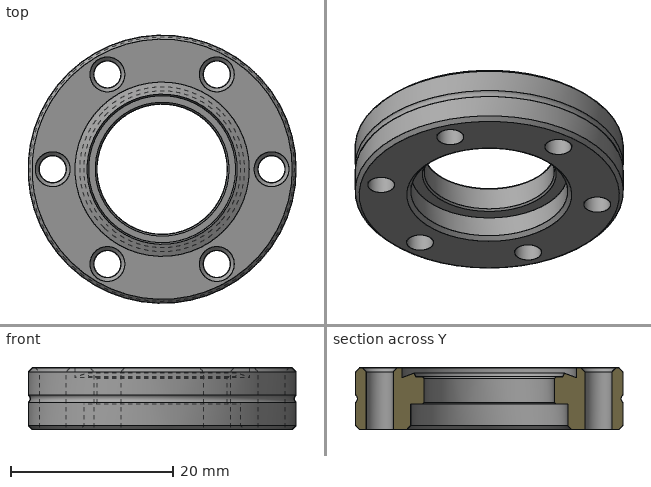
import cadquery as cq

flange_radius = 16.5
height = 7.63
rim_chamfer = 0.5

groove_width = 0.9
groove_depth = 0.23

recess_radius = 10.73
recess_depth = 1.2
knife_edge_radius = 9.25
knife_edge_depth = 0.63
knife_base_radius = 9.05

bore_radius = 16.0 / 2
lip_top_depth = 1.1
lip_bottom_depth = 4.5
lip_chamfer = 0.23
socket_radius = 19.32 / 2
socket_chamfer = 0.5

bolt_count = 6
bolt_circle_radius = 13.47
bolt_diameter = 3.3
countersink_diameter = 4.3
countersink_angle = 90.0


def flange_body():
    """Revolve the half section (radius, z) about the Z axis."""
    lip_top = height - lip_top_depth
    lip_bottom = height - lip_bottom_depth
    mid_height = height / 2
    section = (
        cq.Workplane("XZ")
        .moveTo(socket_radius + socket_chamfer, 0)
        .lineTo(socket_radius, socket_chamfer)
        .lineTo(socket_radius, lip_bottom)
        .lineTo(bore_radius + lip_chamfer, lip_bottom)
        .lineTo(bore_radius, lip_bottom + lip_chamfer)
        .lineTo(bore_radius, lip_top - lip_chamfer)
        .lineTo(bore_radius + lip_chamfer, lip_top)
        .lineTo(knife_base_radius, lip_top)
        .lineTo(knife_edge_radius, height - knife_edge_depth)
        .lineTo(recess_radius, height - recess_depth)
        .lineTo(recess_radius, height)
        .lineTo(flange_radius - rim_chamfer, height)
        .lineTo(flange_radius, height - rim_chamfer)
        .lineTo(flange_radius, mid_height + groove_width / 2)
        .threePointArc(
            (flange_radius - groove_depth, mid_height),
            (flange_radius, mid_height - groove_width / 2),
        )
        .lineTo(flange_radius, rim_chamfer)
        .lineTo(flange_radius - rim_chamfer, 0)
        .close()
    )
    return section.revolve(360, (0, 0, 0), (0, 1, 0))


def drill_bolt_holes(body):
    """Drill the countersunk through holes, the first one on +X."""
    return (
        body.copyWorkplane(cq.Workplane("XY", origin=(0, 0, height)))
        .polarArray(bolt_circle_radius, 0, 360, bolt_count)
        .cskHole(bolt_diameter, countersink_diameter, countersink_angle)
    )


result = drill_bolt_holes(flange_body())